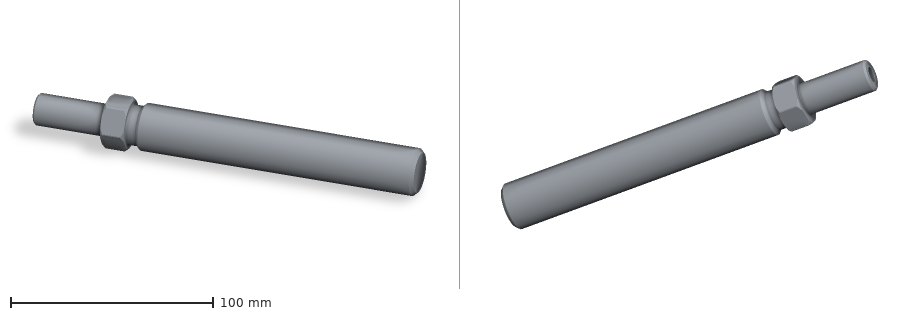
import cadquery as cq
import math

total_length = 199.0
stub_length = 36.6
hex_length = 12.3
neck_length = 7.0

stub_radius = 8.2
hex_across_flats = 24.0
hex_corner_radius = 13.7
neck_radius = 10.1
body_radius = hex_across_flats / 2

stub_chamfer = 1.0
stub_root_fillet = 0.5
hex_chamfer_length = 1.4
hex_face_radius = 12.3
neck_fillet = 1.0
body_chamfer_length = 2.0
body_end_radius = 10.1

hole_radius = 4.0
hole_depth = 31.8
drill_tip_angle = 118.0

hex_start = stub_length
hex_end = hex_start + hex_length
body_start = hex_end + neck_length
neck_cone_start = body_start - (body_radius - neck_radius)
body_chamfer_start = total_length - body_chamfer_length


def revolve_about_x(profile):
    """Turn a closed XY profile into a solid around the X axis."""
    return profile.close().revolve(360, (0, 0, 0), (1, 0, 0))


def make_shaft():
    """Stub, neck and long body as one turned piece running through the hexagon."""
    quarter = math.sqrt(0.5)
    root_offset = stub_root_fillet * (1 - quarter)
    neck_offset = neck_fillet * (1 - quarter)
    profile = (
        cq.Workplane("XY")
        .lineTo(0, stub_radius - stub_chamfer)
        .lineTo(stub_chamfer, stub_radius)
        .lineTo(hex_start - stub_root_fillet, stub_radius)
        .threePointArc(
            (hex_start - root_offset, stub_radius + root_offset),
            (hex_start, stub_radius + stub_root_fillet),
        )
        .lineTo(hex_end, neck_radius + neck_fillet)
        .threePointArc(
            (hex_end + neck_offset, neck_radius + neck_offset),
            (hex_end + neck_fillet, neck_radius),
        )
        .lineTo(neck_cone_start, neck_radius)
        .lineTo(body_start, body_radius)
        .lineTo(body_chamfer_start, body_radius)
        .lineTo(total_length, body_end_radius)
        .lineTo(total_length, 0)
    )
    return revolve_about_x(profile)


def make_hexagon():
    """Hexagon with flats facing +Z and -Z, its corners turned and chamfered."""
    corner_diameter = hex_across_flats / math.cos(math.radians(30))
    prism = (
        cq.Workplane("YZ", origin=(hex_start, 0, 0))
        .polygon(6, corner_diameter)
        .extrude(hex_length)
    )
    envelope = revolve_about_x(
        cq.Workplane("XY")
        .moveTo(hex_start, 0)
        .lineTo(hex_start, hex_face_radius)
        .lineTo(hex_start + hex_chamfer_length, hex_corner_radius)
        .lineTo(hex_end - hex_chamfer_length, hex_corner_radius)
        .lineTo(hex_end, hex_face_radius)
        .lineTo(hex_end, 0)
    )
    return prism.intersect(envelope)


def make_hole():
    """Blind hole with a conical drill tip, entering from the stub end."""
    tip_length = hole_radius / math.tan(math.radians(drill_tip_angle / 2))
    return revolve_about_x(
        cq.Workplane("XY")
        .lineTo(0, hole_radius)
        .lineTo(hole_depth, hole_radius)
        .lineTo(hole_depth + tip_length, 0)
    )


result = make_shaft().union(make_hexagon()).cut(make_hole())